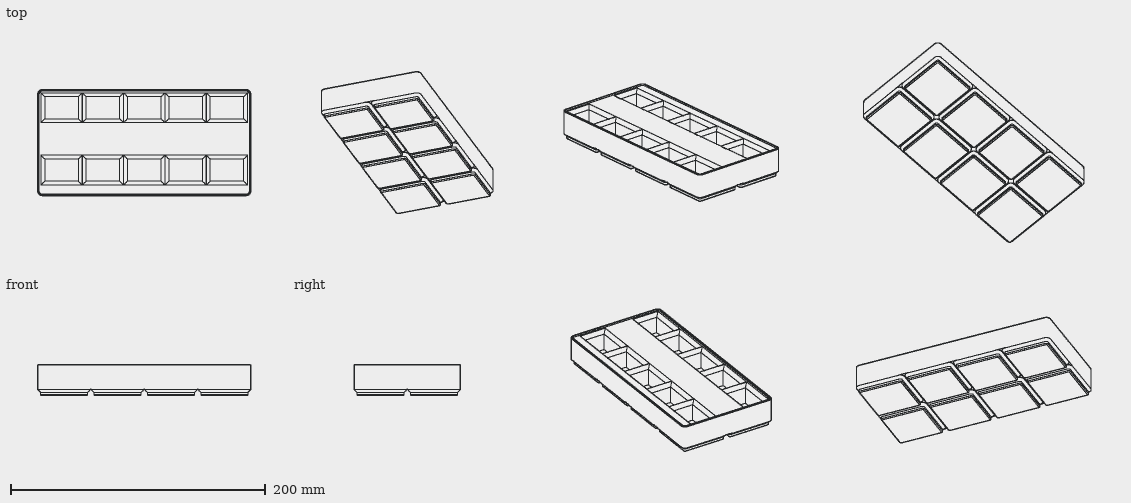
import cadquery as cq

grid_pitch = 42.0
cells_x = 4
cells_y = 2
fit_gap = 0.5
length = cells_x * grid_pitch - fit_gap
width = cells_y * grid_pitch - fit_gap
height = 24.43
corner_radius = 3.75

foot_lower_chamfer = 0.8
foot_straight = 1.8
foot_upper_chamfer = 2.15
foot_size = grid_pitch - fit_gap
bridge_underside = 5.0

rim_height = 1.2
rim_thickness = 1.2
rim_edge_chamfer = 0.5
deck_z = height - rim_height

pocket_columns = 5
well_length = 26.3
well_width = 17.35
well_depth = 14.0
flare = 3.0
mouth_length = well_length + 2 * flare
mouth_width = well_width + 2 * flare
pocket_divider = 0.2
pocket_pitch_x = mouth_length + pocket_divider
row_spacing = 49.0
back_margin = 2.65
back_row_y = width / 2 - back_margin - mouth_width / 2
row_centers_y = [back_row_y, back_row_y - row_spacing]


def rounded_block(size_x, size_y, radius, bottom_z, block_height):
    """Upright block with rounded vertical edges, centred on the Z axis."""
    block = cq.Workplane("XY").box(size_x, size_y, block_height, centered=(True, True, False))
    return block.edges("|Z").fillet(radius).translate((0, 0, bottom_z))


def make_foot():
    """One foot: chamfered toe, straight band, and flare out to the cell size."""
    band_size = foot_size - 2 * foot_upper_chamfer
    band_radius = corner_radius - foot_upper_chamfer
    band_height = foot_lower_chamfer + foot_straight
    band = rounded_block(band_size, band_size, band_radius, 0, band_height)
    band = band.faces("<Z").chamfer(foot_lower_chamfer)
    top_height = bridge_underside - band_height
    top = rounded_block(foot_size, foot_size, corner_radius, band_height, top_height)
    top = top.faces("<Z").chamfer(foot_upper_chamfer)
    return band.union(top)


def make_body():
    """Main block standing on a grid of feet."""
    body = rounded_block(length, width, corner_radius, bridge_underside, height - bridge_underside)
    foot = make_foot()
    for column in range(cells_x):
        for row in range(cells_y):
            x = (column - (cells_x - 1) / 2) * grid_pitch
            y = (row - (cells_y - 1) / 2) * grid_pitch
            body = body.union(foot.translate((x, y, 0)))
    return body


def make_rim_recess():
    """Shallow recess that leaves the rim standing around the deck."""
    return rounded_block(
        length - 2 * rim_thickness,
        width - 2 * rim_thickness,
        corner_radius - rim_thickness,
        deck_z,
        rim_height,
    )


def make_pocket():
    """Rectangular well whose four walls flare outward to the deck."""
    well_top_z = deck_z - flare
    mouth = cq.Workplane("XY", origin=(0, 0, well_top_z)).rect(well_length, well_width)
    mouth = mouth.workplane(offset=flare).rect(mouth_length, mouth_width).loft(ruled=True)
    well = cq.Workplane("XY", origin=(0, 0, well_top_z)).rect(well_length, well_width).extrude(-well_depth)
    return well.union(mouth)


def cut_pockets(tray):
    """Two rows of pockets, separated along X by thin dividers."""
    pocket = make_pocket()
    for column in range(pocket_columns):
        x = (column - (pocket_columns - 1) / 2) * pocket_pitch_x
        for y in row_centers_y:
            tray = tray.cut(pocket.translate((x, y, 0)))
    return tray


tray = make_body().faces(">Z").chamfer(rim_edge_chamfer)
tray = tray.cut(make_rim_recess())
result = cut_pockets(tray)